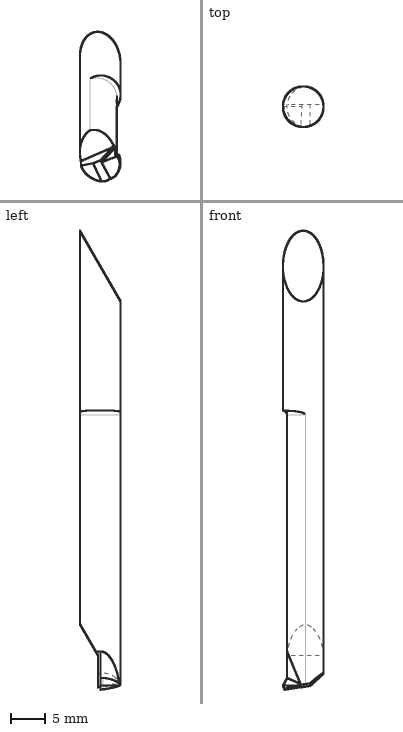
import cadquery as cq
import math

length = 67.45
diameter = 6.0
radius = diameter / 2
end_slope = math.tan(math.radians(60))
margin = 1.35

neck_offset = 0.6
neck_top = 41.0
neck_fillet = neck_offset

flat_y = 0.35
rake_y = 0.0
clearance_top = 9.65

nose_x = -2.75
nose_height = 0.6
flank_top = 1.75
land_width = 0.4
land_depth = radius - math.sqrt(radius**2 - land_width**2)
nose_end_x = nose_x + land_depth
bottom_x = 1.0
bottom_height = 0.6
chamfer_height = 2.4
relief_slope = 0.12

joint_low_x = -0.4
joint_low_z = 0.9
joint_slope = -2.4
joint_top = 5.8


def along_y(points, start, end):
    """Extrude an XZ outline from Y = start to Y = end."""
    return cq.Workplane("XZ", origin=(0, start, 0)).polyline(points).close().extrude(start - end)


def along_x(points):
    """Extrude a YZ outline across the whole bar."""
    return cq.Workplane("YZ").polyline(points).close().extrude(radius + margin, both=True)


def make_neck():
    """Shifted cylinder whose upper end flares out to the shank in a concave fillet."""
    fillet_bottom = neck_top - neck_fillet
    bend = neck_fillet * math.sqrt(0.5)
    outline = (
        cq.Workplane("XZ", origin=(neck_offset, 0, 0))
        .lineTo(radius, 0)
        .lineTo(radius, fillet_bottom)
        .threePointArc(
            (radius + neck_fillet - bend, fillet_bottom + bend),
            (radius + neck_fillet, neck_top),
        )
        .lineTo(2 * diameter, neck_top)
        .lineTo(2 * diameter, length)
        .lineTo(0, length)
        .close()
    )
    return outline.revolve(360, (0, 0, 0), (0, 1, 0))


def make_flank():
    """Cone about the bar axis that widens downward to the nose, with a flat land beside the rake face."""
    top_radius = radius - neck_offset
    outline = (
        cq.Workplane("XZ")
        .lineTo(-nose_x, 0)
        .lineTo(radius, nose_height)
        .lineTo(top_radius, flank_top)
        .lineTo(0, flank_top)
        .close()
    )
    cone = outline.revolve(360, (0, 0, 0), (0, 1, 0))
    land_outline = [
        (nose_end_x, 0),
        (-radius + land_depth, nose_height),
        (-top_radius + land_depth, flank_top),
        (radius, flank_top),
        (radius, 0),
    ]
    return cone.intersect(along_y(land_outline, radius, -radius))


def make_top_cut():
    """Material above the slanted upper end."""
    low_z = length - diameter * end_slope
    reach = margin * end_slope
    return along_x([
        (-radius - margin, low_z - reach),
        (radius + margin, length + reach),
        (-radius - margin, length + reach),
    ])


def make_back_cut():
    """Material behind the flat, ending in the slanted clearance."""
    flat_top = clearance_top - (radius - flat_y) * end_slope
    return along_x([
        (flat_y, -margin),
        (flat_y, flat_top),
        (radius + margin, clearance_top + margin * end_slope),
        (radius + margin, -margin),
    ])


def make_end_cut():
    """Material below the cutting edge and corner chamfer, rising toward -Y."""
    half_depth = radius + margin
    shift = relief_slope * half_depth
    chamfer_slope = (chamfer_height - bottom_height) / (radius - bottom_x)
    edge_slope = bottom_height / (bottom_x - nose_end_x)
    outline = [
        (-radius - margin, edge_slope * (-radius - margin - nose_end_x)),
        (bottom_x, bottom_height),
        (radius + margin, chamfer_height + chamfer_slope * margin),
        (radius + margin, -2 * margin),
        (-radius - margin, -2 * margin),
    ]
    front = [(x, z + shift) for x, z in outline]
    back = [(x, z - shift) for x, z in outline]
    return (
        cq.Workplane("XZ", origin=(0, half_depth, 0))
        .polyline(back).close()
        .workplane(offset=2 * half_depth)
        .polyline(front).close()
        .loft(ruled=True, combine=True)
    )


def make_tip_space():
    """Region on the -X side of the joint plane."""
    joint_top_x = joint_low_x + (joint_top - joint_low_z) / joint_slope
    joint_base_x = joint_low_x - (joint_low_z + margin) / joint_slope
    side = -radius - margin
    return along_y(
        [(side, -margin), (joint_base_x, -margin), (joint_top_x, joint_top), (side, joint_top)],
        radius + margin,
        -radius - margin,
    )


def make_rake_cut():
    """Everything behind the rake face of the tip."""
    height = joint_top + margin
    return cq.Workplane("XY").box(
        2 * diameter, diameter, 2 * height, centered=(True, False, True)
    ).translate((0, rake_y, 0))


bar = cq.Workplane("XY").circle(radius).extrude(length)
neck = bar.intersect(make_neck())
end_cut = make_end_cut()
tip_space = make_tip_space()

shank = neck.cut(make_top_cut()).cut(make_back_cut()).cut(end_cut).cut(tip_space)

tip = neck.union(make_flank()).intersect(tip_space).cut(end_cut).cut(make_rake_cut())

result = cq.Compound.makeCompound([shank.val(), tip.val()])